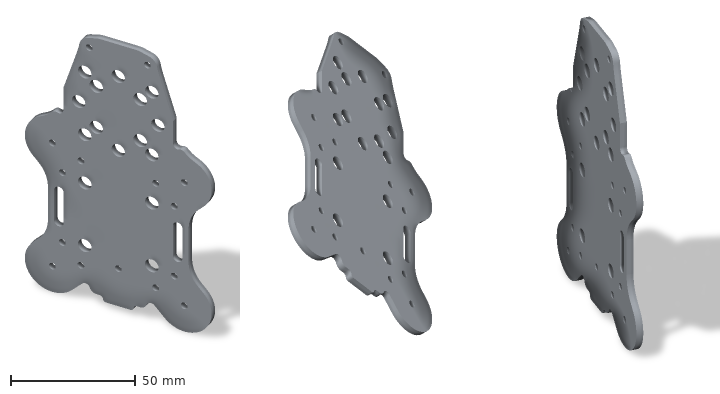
import cadquery as cq
import math

thickness = 3.0

lobe_radius = 12.5
lobe_offset = 30.0
upper_lobe = (lobe_offset, lobe_offset)
lower_lobe = (lobe_offset, -lobe_offset)

waist_half_width = 32.0
waist_blend_radius = 15.0
flank_angle = 45.0

nose_top_z = 87.6
nose_half_width = 25.0
nose_corner_centre = (12.75, 81.47)
nose_corner_radius = 5.0
nose_slope_angle = 15.0
nose_crown_radius = 10.0
nose_side_blend_radius = 40.0
nose_corner_exit_angle = 10.7
nose_taper_angle = 17.7

shoulder_fillet_radius = 2.0
crest_radius = 2.0
crest_x = 28.6
right_crest_z = 43.55
left_crest_z = 43.8
shoulder_blend_radius = 15.0

notch_x = 14.93
notch_radius = 2.1
foot_radius = 3.0
foot_z = -37.13
tab_bottom_z = -39.83
tab_corner_x = 5.5
tab_corner_radius = 1.5
tab_fillet_radius = 1.5

small_diameter = 3.1
medium_diameter = 6.0
large_diameter = 6.1
nose_hole = (13.23, 81.8)
tail_hole_z = -21.58
stand_near = 17.0
stand_far = 25.43
cluster_z = 54.0
cluster_ring_radius = 18.0
cluster_inner_offset = 10.0
board_offset = 15.25

slot_x = 27.0
slot_width = 4.3
slot_length = 19.2


def on_circle(centre, radius, degrees):
    """Point on a circle at an angle measured from +X towards +Z."""
    angle = math.radians(degrees)
    return (centre[0] + radius * math.cos(angle), centre[1] + radius * math.sin(angle))


def direction(start, end):
    """Angle in degrees of the line from start to end."""
    return math.degrees(math.atan2(end[1] - start[1], end[0] - start[0]))


def run_between(distance, rise):
    """Horizontal distance between two points, from their distance and their height difference."""
    return math.sqrt(distance**2 - rise**2)


def add_arc(outline, centre, radius, start_angle, end_angle):
    """Continue an outline along an arc that starts where the outline ends."""
    middle = on_circle(centre, radius, (start_angle + end_angle) / 2)
    return outline.threePointArc(middle, on_circle(centre, radius, end_angle))


def add_line_and_arc(outline, centre, radius, start_angle, end_angle):
    """Continue an outline with a straight line to the start of an arc, then along the arc."""
    outline = outline.lineTo(*on_circle(centre, radius, start_angle))
    return add_arc(outline, centre, radius, start_angle, end_angle)


def add_nose(outline):
    """Flat top, crown arc, sloped shoulder, rounded corner and tapered side."""
    slope_normal = 90 - nose_slope_angle
    slope = math.radians(nose_slope_angle)
    corner_start = on_circle(nose_corner_centre, nose_corner_radius, slope_normal)
    crown_drop = nose_crown_radius * (1 - math.cos(slope))
    slope_rise = nose_top_z - crown_drop - corner_start[1]
    crown_end_x = corner_start[0] - slope_rise / math.tan(slope)
    crown_start_x = crown_end_x - nose_crown_radius * math.sin(slope)
    crown_centre = (crown_start_x, nose_top_z - nose_crown_radius)

    side_distance = nose_corner_radius + nose_side_blend_radius
    side_centre = on_circle(nose_corner_centre, side_distance, nose_corner_exit_angle)
    side_start_angle = 180 + nose_corner_exit_angle
    side_end_angle = 180 + nose_taper_angle
    taper_top = on_circle(side_centre, nose_side_blend_radius, side_end_angle)
    taper_drop = (nose_half_width - taper_top[0]) / math.tan(math.radians(nose_taper_angle))

    outline = add_line_and_arc(outline, crown_centre, nose_crown_radius, 90, slope_normal)
    outline = add_line_and_arc(
        outline, nose_corner_centre, nose_corner_radius, slope_normal, nose_corner_exit_angle
    )
    outline = add_arc(outline, side_centre, nose_side_blend_radius, side_start_angle, side_end_angle)
    return outline.lineTo(nose_half_width, taper_top[1] - taper_drop)


def add_shoulder_and_upper_lobe(outline, crest_z):
    """Inner fillet, convex crest, concave blend and upper lobe, each tangent to the next."""
    crest = (crest_x, crest_z)
    fillet_x = nose_half_width + shoulder_fillet_radius
    fillet_height = run_between(shoulder_fillet_radius + crest_radius, crest_x - fillet_x)
    fillet = (fillet_x, crest_z + fillet_height)
    fillet_end_angle = direction(fillet, crest)

    crest_reach = crest_radius + shoulder_blend_radius
    lobe_reach = lobe_radius + shoulder_blend_radius
    span = math.dist(crest, upper_lobe)
    cosine = (lobe_reach**2 + span**2 - crest_reach**2) / (2 * lobe_reach * span)
    lobe_start_angle = direction(upper_lobe, crest) - math.degrees(math.acos(cosine))
    blend = on_circle(upper_lobe, lobe_reach, lobe_start_angle)
    blend_start_angle = direction(blend, crest) % 360

    outline = add_line_and_arc(outline, fillet, shoulder_fillet_radius, -180, fillet_end_angle)
    outline = add_arc(outline, crest, crest_radius, 180 + fillet_end_angle, direction(crest, blend))
    outline = add_arc(
        outline, blend, shoulder_blend_radius, blend_start_angle, 180 + lobe_start_angle
    )
    return add_arc(outline, upper_lobe, lobe_radius, lobe_start_angle, -flank_angle)


def add_waist_and_lower_lobe(outline):
    """Flanks and blends on both sides of the straight waist, then the lower lobe."""
    blend_x = waist_half_width + waist_blend_radius
    flank = math.radians(flank_angle)
    flank_run = (blend_x - lobe_offset) / math.tan(flank)
    blend_z = lobe_offset + flank_run - (lobe_radius + waist_blend_radius) / math.sin(flank)

    outline = add_line_and_arc(
        outline, (blend_x, blend_z), waist_blend_radius, 180 - flank_angle, 180
    )
    outline = add_line_and_arc(
        outline, (blend_x, -blend_z), waist_blend_radius, 180, 180 + flank_angle
    )
    return add_line_and_arc(outline, lower_lobe, lobe_radius, flank_angle, -180 + flank_angle)


def add_tail(outline):
    """Notch and foot, then the tab fillet and tab corner; each pair is tangent."""
    flank = math.radians(flank_angle)
    flank_run = (lobe_offset - notch_x) / math.tan(flank)
    notch_z = -lobe_offset + flank_run - (lobe_radius + notch_radius) / math.sin(flank)
    notch_centre = (notch_x, notch_z)

    foot_centre_z = foot_z + foot_radius
    foot_run = run_between(notch_radius + foot_radius, foot_centre_z - notch_centre[1])
    foot = (notch_centre[0] - foot_run, foot_centre_z)
    notch_end_angle = direction(notch_centre, foot) % 360

    tab_corner = (tab_corner_x, tab_bottom_z + tab_corner_radius)
    fillet_z = foot_z - tab_fillet_radius
    fillet_run = run_between(tab_corner_radius + tab_fillet_radius, fillet_z - tab_corner[1])
    tab_fillet = (tab_corner_x + fillet_run, fillet_z)
    fillet_end_angle = direction(tab_fillet, tab_corner) % 360

    outline = add_line_and_arc(outline, notch_centre, notch_radius, flank_angle, notch_end_angle)
    outline = add_arc(outline, foot, foot_radius, notch_end_angle - 180, -90)
    outline = add_line_and_arc(outline, tab_fillet, tab_fillet_radius, 90, fillet_end_angle)
    outline = add_arc(outline, tab_corner, tab_corner_radius, fillet_end_angle - 180, -90)
    return outline.lineTo(0, tab_bottom_z)


def half_plate(crest_z):
    """The +X half of the plate, with its shoulder crest centred at the given height."""
    outline = cq.Workplane("XZ").moveTo(0, nose_top_z)
    outline = add_nose(outline)
    outline = add_shoulder_and_upper_lobe(outline, crest_z)
    outline = add_waist_and_lower_lobe(outline)
    outline = add_tail(outline)
    return outline.close().extrude(-thickness)


def plate():
    right_half = half_plate(right_crest_z)
    left_half = half_plate(left_crest_z).mirror("YZ")
    return right_half.union(left_half).clean()


def mirrored(x, z):
    """The point and its mirror image about x = 0."""
    return [(x, z), (-x, z)]


def corners(half_x, half_z, centre_z=0.0):
    """Four corners of a rectangle centred on x = 0."""
    return mirrored(half_x, centre_z + half_z) + mirrored(half_x, centre_z - half_z)


def drill(body, points, diameter):
    holes = cq.Workplane("XZ").pushPoints(points).circle(diameter / 2).extrude(-thickness)
    return body.cut(holes)


def cut_slots(body):
    slots = (
        cq.Workplane("XZ")
        .pushPoints(mirrored(slot_x, 0))
        .slot2D(slot_length, slot_width, 90)
        .extrude(-thickness)
    )
    return body.cut(slots)


small_holes = (
    mirrored(*nose_hole)
    + corners(lobe_offset, lobe_offset)
    + corners(stand_near, stand_far)
    + corners(stand_far, stand_near)
    + [(0, tail_hole_z)]
)
medium_holes = (
    mirrored(cluster_ring_radius, cluster_z)
    + [(0, cluster_z + cluster_ring_radius), (0, cluster_z - cluster_ring_radius)]
    + corners(board_offset, board_offset, cluster_z)
)
large_holes = (
    corners(cluster_inner_offset, cluster_inner_offset, cluster_z)
    + corners(board_offset, board_offset)
)

result = plate()
result = drill(result, small_holes, small_diameter)
result = drill(result, medium_holes, medium_diameter)
result = drill(result, large_holes, large_diameter)
result = cut_slots(result)